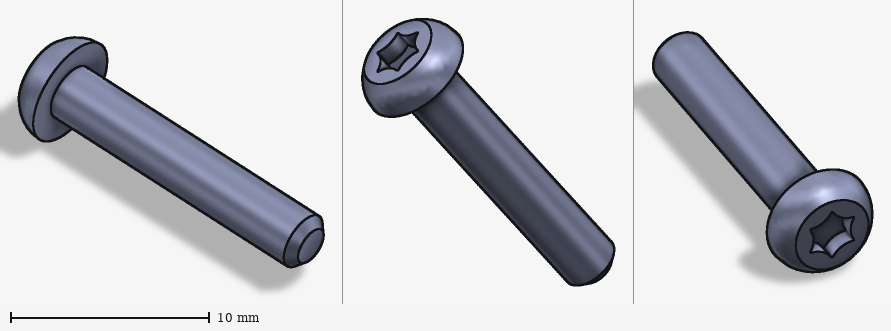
import cadquery as cq
import math

total_length = 17.65
head_length = 1.66
head_diameter = 5.7
head_radius = head_diameter / 2
head_face_radius = 2.05
shank_radius = 1.5
tip_chamfer = 0.51

socket_points = 6
socket_tip_radius = 1.46
socket_valley_radius = 1.05
socket_depth = 0.95
socket_tip_fillet = 0.05


def make_head():
    """Domed head whose arc meets the underside at a right angle."""
    dome_drop = head_radius - head_face_radius
    dome_radius = (head_length**2 + dome_drop**2) / (2 * dome_drop)
    dome_center_radius = head_radius - dome_radius
    half_angle = math.asin(head_length / dome_radius) / 2
    dome_middle = (
        head_length - dome_radius * math.sin(half_angle),
        dome_center_radius + dome_radius * math.cos(half_angle),
    )
    return (
        cq.Workplane("XY")
        .lineTo(0, head_face_radius)
        .threePointArc(dome_middle, (head_length, head_radius))
        .lineTo(head_length, 0)
        .close()
        .revolve(360, (0, 0, 0), (1, 0, 0))
    )


def make_shank():
    """Plain cylindrical shank with a chamfered tip."""
    return (
        cq.Workplane("YZ", origin=(head_length, 0, 0))
        .circle(shank_radius)
        .extrude(total_length - head_length)
        .faces(">X")
        .chamfer(tip_chamfer)
    )


def polar_point(radius, angle):
    return radius * math.cos(angle), radius * math.sin(angle)


def make_socket():
    """Star prism with a rounded point towards +Z and inward-curved sides."""
    pitch = 2 * math.pi / socket_points
    first_angle = math.pi / 2
    star = cq.Workplane("YZ").moveTo(*polar_point(socket_tip_radius, first_angle))
    for index in range(socket_points):
        tip_angle = first_angle + index * pitch
        valley = polar_point(socket_valley_radius, tip_angle + pitch / 2)
        next_tip = polar_point(socket_tip_radius, tip_angle + pitch)
        star = star.threePointArc(valley, next_tip)
    return star.close().extrude(socket_depth).edges("|X").fillet(socket_tip_fillet)


result = make_head().union(make_shank()).cut(make_socket())